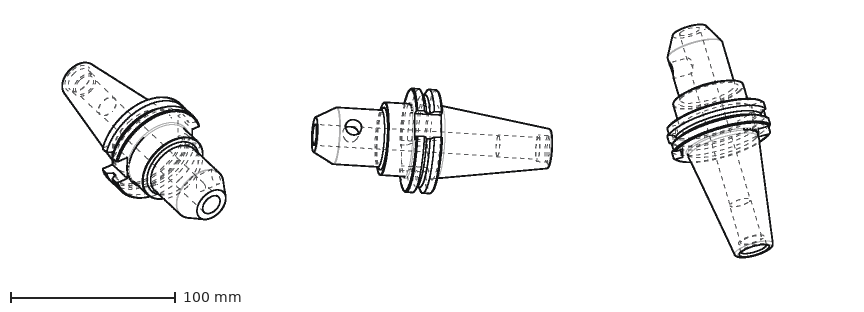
import cadquery as cq
import math

total_length = 144.9
gauge_x = 68.4
flange_x = 71.3
flange_width = 16.1
collar_end_x = 103.2
shank_end_x = 132.5

gauge_radius = 22.25
taper_end_radius = 12.0
flange_diameter = 63.3
flange_radius = flange_diameter / 2
collar_radius = 22.25
shank_radius = 17.4
nose_radius = 10.9

taper_end_fillet = 1.6
shank_end_fillet = 1.0
edge_break = 0.3
flange_chamfer = 0.7
flange_root_fillet = 0.9
shank_root_chamfer = 1.6

groove_center_x = 79.4
groove_root_radius = 28.1
groove_root_width = 2.2
groove_side_angle = 30.0

slot_width = 16.5
front_slot_floor = 22.8
back_slot_floor = 25.0

through_diameter = 12.8
thread_diameter = 13.3
thread_end_x = 31.9
entry_diameter = 16.2
entry_depth = 7.2
entry_chamfer = 1.5

screw_diameter = 9.9
screw_x = 123.9


def make_body():
    """Revolved taper, flange, collar, shank and nose."""
    flange_end_x = flange_x + flange_width
    outline = (
        cq.Workplane("XY")
        .moveTo(0, 0)
        .lineTo(0, taper_end_radius)
        .lineTo(gauge_x, gauge_radius)
        .lineTo(flange_x - flange_root_fillet, gauge_radius)
        .radiusArc((flange_x, gauge_radius + flange_root_fillet), -flange_root_fillet)
        .lineTo(flange_x, flange_radius - flange_chamfer)
        .lineTo(flange_x + flange_chamfer, flange_radius)
        .lineTo(flange_end_x - flange_chamfer, flange_radius)
        .lineTo(flange_end_x, flange_radius - flange_chamfer)
        .lineTo(flange_end_x, collar_radius + flange_root_fillet)
        .radiusArc((flange_end_x + flange_root_fillet, collar_radius), -flange_root_fillet)
        .lineTo(collar_end_x - edge_break, collar_radius)
        .lineTo(collar_end_x, collar_radius - edge_break)
        .lineTo(collar_end_x, shank_radius + shank_root_chamfer)
        .lineTo(collar_end_x + shank_root_chamfer, shank_radius)
        .lineTo(shank_end_x, shank_radius)
        .lineTo(total_length - edge_break, nose_radius)
        .lineTo(total_length, nose_radius - edge_break)
        .lineTo(total_length, 0)
        .close()
    )
    body = outline.revolve(360, (0, 0, 0), (1, 0, 0))
    body = body.faces("<X").edges().fillet(taper_end_fillet)
    shank_end_edge = cq.selectors.BoxSelector(
        (shank_end_x - edge_break, -flange_radius, -flange_radius),
        (shank_end_x + edge_break, flange_radius, flange_radius),
        boundingbox=True,
    )
    return body.edges(shank_end_edge).fillet(shank_end_fillet)


def make_groove():
    """Ring that cuts the V-groove, open past the flange rim."""
    root_half = groove_root_width / 2
    side_rise = flange_radius - groove_root_radius
    rim_half = root_half + side_rise * math.tan(math.radians(groove_side_angle))
    return (
        cq.Workplane("XY")
        .moveTo(groove_center_x - root_half, groove_root_radius)
        .lineTo(groove_center_x + root_half, groove_root_radius)
        .lineTo(groove_center_x + rim_half, flange_radius)
        .lineTo(groove_center_x - rim_half, flange_radius)
        .close()
        .revolve(360, (0, 0, 0), (1, 0, 0))
    )


def make_slot(floor, side):
    """Driving slot through the flange; side is -1 for -Y and +1 for +Y."""
    depth = flange_radius - floor
    center = (flange_x + flange_width / 2, side * (floor + depth / 2), 0)
    return cq.Workplane("XY").box(flange_width, depth, slot_width).translate(center)


def make_bore():
    """Through bore stepped up to a thread bore and a chamfered entry at the taper end."""
    bore_radius = through_diameter / 2
    thread_radius = thread_diameter / 2
    entry_radius = entry_diameter / 2
    return (
        cq.Workplane("XY")
        .moveTo(0, 0)
        .lineTo(0, entry_radius + entry_chamfer)
        .lineTo(entry_chamfer, entry_radius)
        .lineTo(entry_depth, entry_radius)
        .lineTo(entry_depth, thread_radius)
        .lineTo(thread_end_x, thread_radius)
        .lineTo(thread_end_x, bore_radius)
        .lineTo(total_length, bore_radius)
        .lineTo(total_length, 0)
        .close()
        .revolve(360, (0, 0, 0), (1, 0, 0))
    )


def make_screw_hole():
    """Radial hole from the +Y side of the shank into the bore."""
    return (
        cq.Workplane("XZ", origin=(screw_x, 0, 0))
        .circle(screw_diameter / 2)
        .extrude(-shank_radius)
    )


result = (
    make_body()
    .cut(make_groove())
    .cut(make_slot(front_slot_floor, -1))
    .cut(make_slot(back_slot_floor, 1))
    .cut(make_bore())
    .cut(make_screw_hole())
)